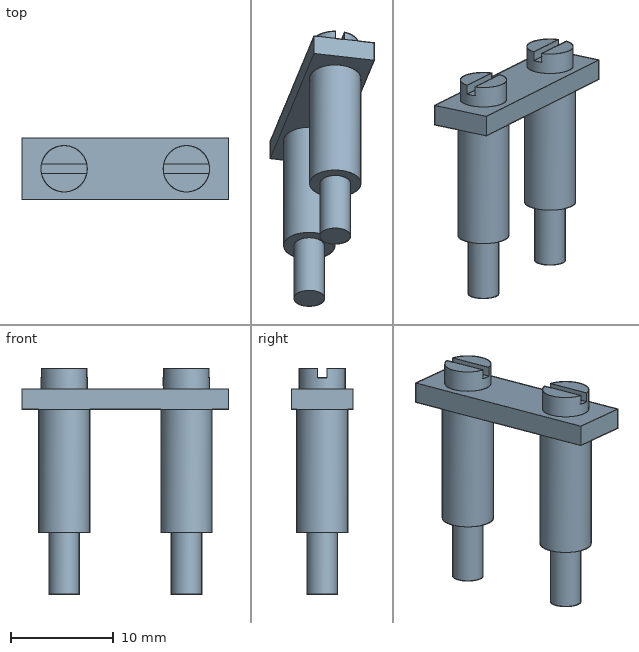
import cadquery as cq

plate_length = 20.1
plate_width = 6.0
plate_thickness = 2.0

screw_spacing = 11.9
total_height = 22.0
head_diameter = 4.5
head_height = 2.0
shank_diameter = 3.0
slot_width = 0.9
slot_depth = 0.9

sleeve_diameter = 5.0
sleeve_length = 12.0

head_seat_z = plate_thickness
head_top_z = head_seat_z + head_height
shank_length = total_height - head_height
screw_positions = [-screw_spacing / 2, screw_spacing / 2]


def make_plate():
    """Flat bar with a clearance-free hole for each screw shank."""
    return (
        cq.Workplane("XY")
        .box(plate_length, plate_width, plate_thickness, centered=(True, True, False))
        .faces(">Z")
        .workplane()
        .pushPoints([(x, 0) for x in screw_positions])
        .hole(shank_diameter)
    )


def make_screw(x):
    """Cylindrical-head screw with a driver slot running along X."""
    head = cq.Workplane("XY", origin=(x, 0, head_seat_z)).circle(head_diameter / 2).extrude(head_height)
    shank = cq.Workplane("XY", origin=(x, 0, head_seat_z)).circle(shank_diameter / 2).extrude(-shank_length)
    slot = cq.Workplane("XY", origin=(x, 0, head_top_z)).rect(head_diameter, slot_width).extrude(-slot_depth)
    return head.union(shank).cut(slot)


def make_sleeve(x):
    """Tube around the shank, hanging from the plate underside."""
    return (
        cq.Workplane("XY", origin=(x, 0, 0))
        .circle(sleeve_diameter / 2)
        .circle(shank_diameter / 2)
        .extrude(-sleeve_length)
    )


plate = make_plate()
screws = [make_screw(x).val() for x in screw_positions]
sleeves = [make_sleeve(x).val() for x in screw_positions]

result = cq.Compound.makeCompound([plate.val(), *screws, *sleeves])